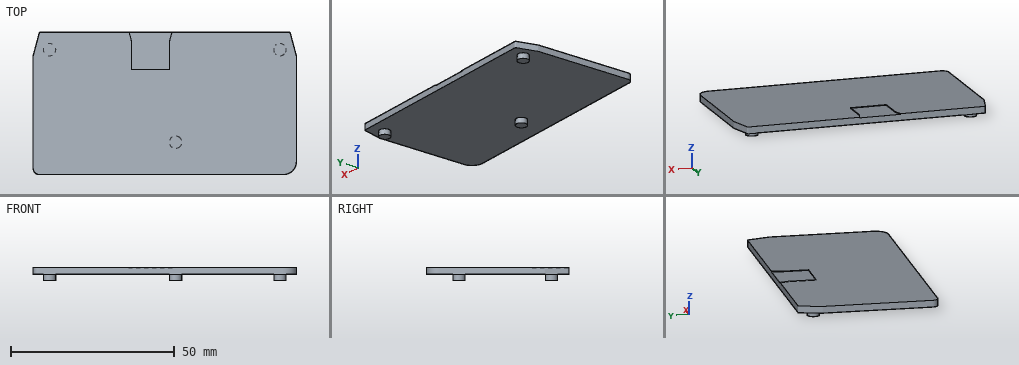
import cadquery as cq
import math

length = 80.6
width = 43.6
thickness = 2.2
total_height = 4.0

taper_angle = math.radians(15)
taper_length = 7.3
left_corner_radius = 2.0
right_corner_radius = 4.0
taper_edge_radius = 0.5

recess_center_x = -4.35
recess_width = 11.5
recess_length = 11.45
recess_depth = 0.2
recess_flare_length = 3.0

peg_diameter = 3.8
peg_height = total_height - thickness
corner_peg_x = 35.2
back_peg_y = 16.45
front_peg = (3.3, -11.85)

right_x = length / 2
back_y = width / 2


def make_plate():
    """Plate with tapered back corners and rounded front corners."""
    taper_inset = taper_length * math.tan(taper_angle)
    taper_start_y = back_y - taper_length
    outline = [
        (-right_x, -back_y),
        (right_x, -back_y),
        (right_x, taper_start_y),
        (right_x - taper_inset, back_y),
        (-right_x + taper_inset, back_y),
        (-right_x, taper_start_y),
    ]
    plate = cq.Workplane("XY").polyline(outline).close().extrude(thickness)
    back_edges = plate.edges("|Z").filter(lambda edge: edge.Center().y > 0)
    plate = back_edges.fillet(taper_edge_radius)
    plate = plate.faces("<Y").edges("<X").fillet(left_corner_radius)
    plate = plate.faces("<Y").edges(">X").fillet(right_corner_radius)
    return plate


def make_recess():
    """Recess volume: straight sides that flare out at the back edge."""
    half_width = recess_width / 2
    half_mouth = half_width + recess_flare_length * math.tan(taper_angle)
    flare_start_y = back_y - recess_flare_length
    end_y = back_y - recess_length
    outline = [
        (-half_mouth, back_y),
        (-half_width, flare_start_y),
        (-half_width, end_y),
        (half_width, end_y),
        (half_width, flare_start_y),
        (half_mouth, back_y),
    ]
    recess = cq.Workplane("XY", origin=(recess_center_x, 0, thickness - recess_depth))
    return recess.polyline(outline).close().extrude(recess_depth)


def make_pegs():
    """Round pegs hanging from the underside of the plate."""
    centers = [(-corner_peg_x, back_peg_y), (corner_peg_x, back_peg_y), front_peg]
    return cq.Workplane("XY").pushPoints(centers).circle(peg_diameter / 2).extrude(-peg_height)


result = make_plate().cut(make_recess()).union(make_pegs())